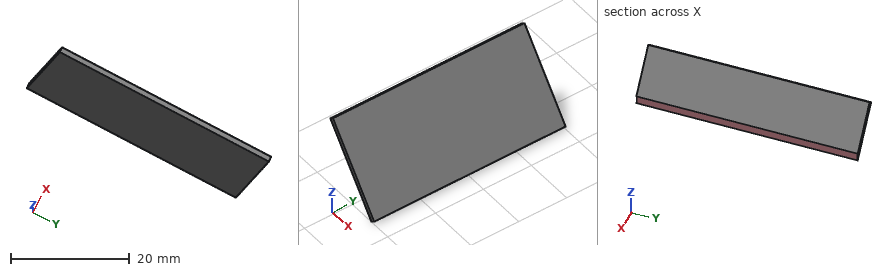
import cadquery as cq

plate_length = 40.0
plate_width = 19.0
plate_thickness = 1.0
tilt_angle = 52.0

plate = cq.Workplane("XY").box(plate_width, plate_length, plate_thickness)

result = plate.rotate((0, 0, 0), (0, 1, 0), tilt_angle)